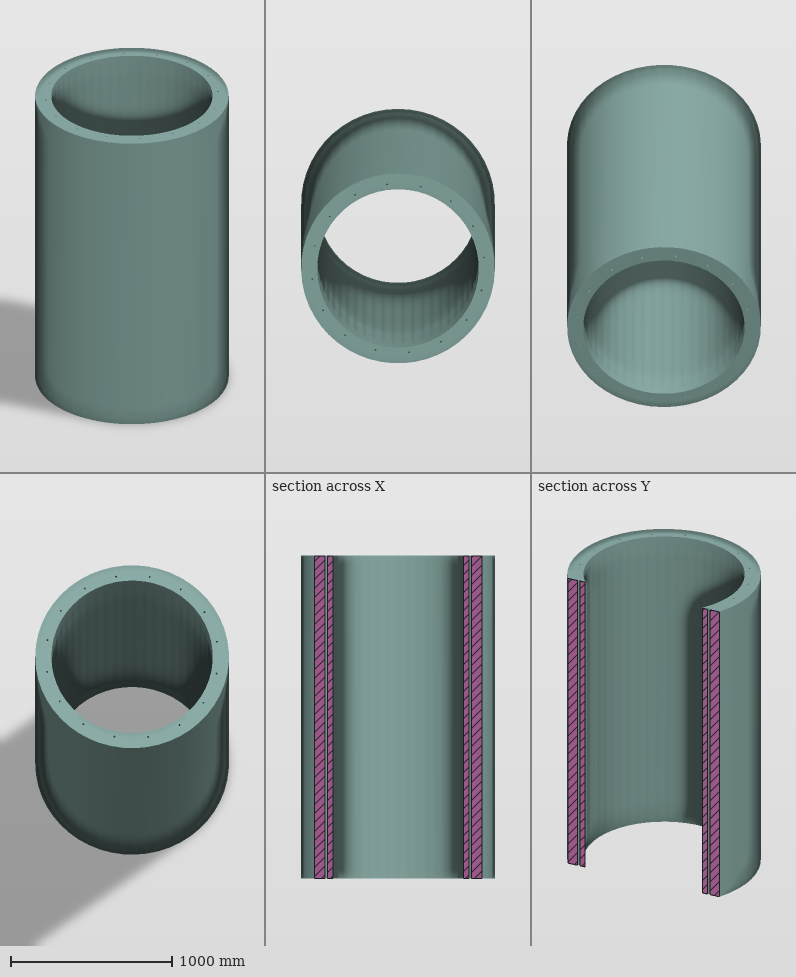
import cadquery as cq

height = 2000.0
outer_diameter = 1200.0
inner_diameter = 1000.0
skin_thickness = 2.0

hole_count = 16
hole_diameter = 12.0
hole_circle_diameter = 1070.0
first_hole_angle = 360 / hole_count / 2


def make_ring(outside, inside):
    """Full-height ring between two diameters."""
    return cq.Workplane("XY").circle(outside / 2).circle(inside / 2).extrude(height)


def make_tube():
    """Core wall joined to its two skins, keeping the circles where they meet on the end faces."""
    core_outer_diameter = outer_diameter - 2 * skin_thickness
    core_inner_diameter = inner_diameter + 2 * skin_thickness
    core = make_ring(core_outer_diameter, core_inner_diameter)
    outer_skin = make_ring(outer_diameter, core_outer_diameter)
    inner_skin = make_ring(core_inner_diameter, inner_diameter)
    return outer_skin.union(core, clean=False).union(inner_skin, clean=False)


def make_hole_cutters():
    """Ring of full-height cylinders for the wall holes."""
    return (
        cq.Workplane("XY")
        .polarArray(hole_circle_diameter / 2, first_hole_angle, 360, hole_count)
        .circle(hole_diameter / 2)
        .extrude(height)
    )


result = make_tube().cut(make_hole_cutters(), clean=False)